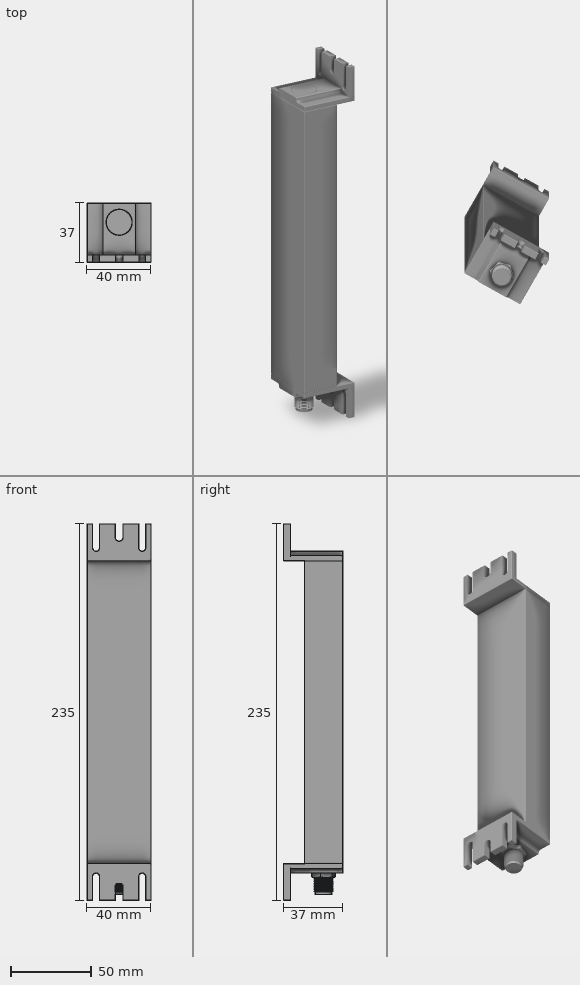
import cadquery as cq
import math

WIDTH = 40.0
DEPTH = 37.0
HEIGHT = 235.0

BODY_DEPTH = 24.0
BRACKET_HEIGHT = 23.0
BODY_HEIGHT = HEIGHT - 2 * BRACKET_HEIGHT
BACK_Y = BODY_DEPTH / 2
FRONT_Y = BACK_Y - DEPTH

WING_THICKNESS = 3.2
CAP_THICKNESS = 6.0
FOOT_THICKNESS = 4.5
BAND_HALF_WIDTH = 10.2
BAND_ROOT_RADIUS = 1.8
BAND_EDGE_RADIUS = 0.6

BODY_EDGE_RADIUS = 0.5
BRACKET_EDGE_RADIUS = 0.4

SIDE_SLOT_WIDTH = 4.2
SIDE_SLOT_DEPTH = 17.0
SIDE_SLOT_X = 14.4
MIDDLE_SLOT_WIDTH = 4.8
MIDDLE_SLOT_DEPTH = 10.7

COVER_DIAMETER = 16.0
COVER_RECESS_DIAMETER = 16.3
COVER_GROOVE_DEPTH = 0.5

NUT_ACROSS_FLATS = 13.3
NUT_HEIGHT = 2.8
NUT_BEVEL_ANGLE = 30.0
NUT_CORNER_ANGLE = 45.0
CONNECTOR_HEIGHT = 13.4
TIP_HEIGHT = 1.3
THREAD_DIAMETER = 12.0
CORE_DIAMETER = 10.38
THREAD_PITCH = 1.0


def make_body():
    return cq.Workplane("XY").box(WIDTH, BODY_DEPTH, BODY_HEIGHT).edges().fillet(BODY_EDGE_RADIUS)


def make_cap():
    """Cap standing on Z = 0: two thin wings and a thicker centre band running along Y."""
    wings = cq.Workplane("XY", origin=(0, BACK_Y - DEPTH / 2, 0)).box(
        WIDTH, DEPTH, WING_THICKNESS, centered=(True, True, False)
    )
    wings = wings.edges("(|Z and >Y) or (|Y and >Z)").fillet(BRACKET_EDGE_RADIUS)
    root_half_width = BAND_HALF_WIDTH + BAND_ROOT_RADIUS
    root_top = WING_THICKNESS + BAND_ROOT_RADIUS
    root_sag = BAND_ROOT_RADIUS * (1 - math.sqrt(0.5))
    root_mid_x = BAND_HALF_WIDTH + root_sag
    root_mid_z = WING_THICKNESS + root_sag
    band = (
        cq.Workplane("XZ", origin=(0, BACK_Y, 0))
        .moveTo(-root_half_width, WING_THICKNESS)
        .threePointArc((-root_mid_x, root_mid_z), (-BAND_HALF_WIDTH, root_top))
        .lineTo(-BAND_HALF_WIDTH, CAP_THICKNESS)
        .lineTo(BAND_HALF_WIDTH, CAP_THICKNESS)
        .lineTo(BAND_HALF_WIDTH, root_top)
        .threePointArc((root_mid_x, root_mid_z), (root_half_width, WING_THICKNESS))
        .close()
        .extrude(DEPTH)
        .faces(">Z")
        .edges("|Y")
        .fillet(BAND_EDGE_RADIUS)
    )
    return wings.union(band)


def make_slot(x, width, depth):
    """Cutter for a round-ended slot, open at the top of the foot."""
    radius = width / 2
    centre_z = BRACKET_HEIGHT - depth + radius
    return (
        cq.Workplane("XZ", origin=(x, FRONT_Y + FOOT_THICKNESS, 0))
        .moveTo(-radius, BRACKET_HEIGHT)
        .lineTo(-radius, centre_z)
        .threePointArc((0, centre_z - radius), (radius, centre_z))
        .lineTo(radius, BRACKET_HEIGHT)
        .close()
        .extrude(FOOT_THICKNESS)
    )


def make_bracket():
    """Bracket standing on Z = 0: the cap with its slotted foot along the front edge."""
    foot = cq.Workplane("XY", origin=(0, FRONT_Y + FOOT_THICKNESS / 2, 0)).box(
        WIDTH, FOOT_THICKNESS, BRACKET_HEIGHT, centered=(True, True, False)
    )
    bracket = make_cap().union(foot)
    bracket = bracket.faces("<Y").edges().fillet(BRACKET_EDGE_RADIUS)
    for x in (-SIDE_SLOT_X, SIDE_SLOT_X):
        bracket = bracket.cut(make_slot(x, SIDE_SLOT_WIDTH, SIDE_SLOT_DEPTH))
    return bracket.cut(make_slot(0, MIDDLE_SLOT_WIDTH, MIDDLE_SLOT_DEPTH))


def make_cover_groove():
    """Ring-shaped cutter for the gap around the round cover."""
    return (
        cq.Workplane("XY", origin=(0, 0, CAP_THICKNESS - COVER_GROOVE_DEPTH))
        .circle(COVER_RECESS_DIAMETER / 2)
        .circle(COVER_DIAMETER / 2)
        .extrude(COVER_GROOVE_DEPTH)
    )


def make_nut():
    """Hexagonal nut standing on Z = 0, its upper corners bevelled by a cone."""
    corner_radius = NUT_ACROSS_FLATS / math.sqrt(3)
    flat_radius = NUT_ACROSS_FLATS / 2
    bevel_height = (corner_radius - flat_radius) * math.tan(math.radians(NUT_BEVEL_ANGLE))
    hexagon = (
        cq.Workplane("XY")
        .polygon(6, 2 * corner_radius)
        .extrude(NUT_HEIGHT)
        .rotate((0, 0, 0), (0, 0, 1), NUT_CORNER_ANGLE)
    )
    bevel = (
        cq.Workplane("XZ")
        .lineTo(corner_radius, 0)
        .lineTo(corner_radius, NUT_HEIGHT - bevel_height)
        .lineTo(flat_radius, NUT_HEIGHT)
        .lineTo(0, NUT_HEIGHT)
        .close()
        .revolve(360, (0, 0, 0), (0, 1, 0))
    )
    return hexagon.intersect(bevel)


def make_stud():
    """Threaded stud standing on Z = 0, its thread formed by V-shaped rings below a plain tip."""
    core_radius = CORE_DIAMETER / 2
    crest_radius = THREAD_DIAMETER / 2
    ring_count = int((CONNECTOR_HEIGHT - TIP_HEIGHT - NUT_HEIGHT) / THREAD_PITCH)
    profile = cq.Workplane("XZ").lineTo(core_radius, 0).lineTo(core_radius, NUT_HEIGHT)
    for ring in range(ring_count):
        root_z = NUT_HEIGHT + ring * THREAD_PITCH
        profile = profile.lineTo(crest_radius, root_z + THREAD_PITCH / 2)
        profile = profile.lineTo(core_radius, root_z + THREAD_PITCH)
    profile = profile.lineTo(core_radius, CONNECTOR_HEIGHT).lineTo(0, CONNECTOR_HEIGHT).close()
    return profile.revolve(360, (0, 0, 0), (0, 1, 0))


cap_base = BODY_HEIGHT / 2
connector_base = cap_base + CAP_THICKNESS

upper_end = make_bracket().cut(make_cover_groove()).translate((0, 0, cap_base))
lower_bracket = make_bracket().mirror("XY").translate((0, 0, -cap_base))
connector = make_nut().union(make_stud()).mirror("XY").translate((0, 0, -connector_base))

result = make_body().union(upper_end).union(lower_bracket).union(connector)